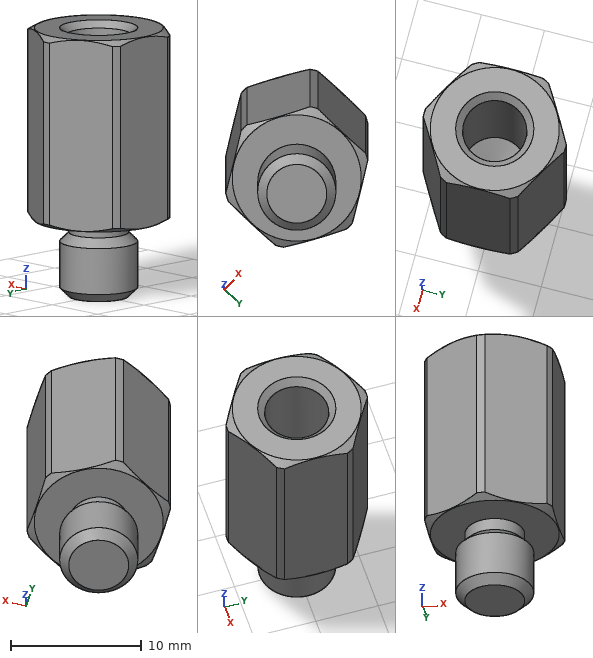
import cadquery as cq
import math

hexagon_sides = 6
half_side_angle = 180.0 / hexagon_sides
across_flats = 10.0
across_corners = 11.2
body_length = 15.0
end_face_diameter = 9.9
end_chamfer_angle = 30.0

stud_diameter = 6.0
stud_length = 6.0
neck_diameter = 4.6
neck_length = 1.0
stud_chamfer = (stud_diameter - neck_diameter) / 2

hole_diameter = 4.92
hole_depth = 10.0
drill_point_angle = 120.0
countersink_diameter = 6.0
countersink_depth = (countersink_diameter - hole_diameter) / 2

body_bottom = stud_length
body_top = body_bottom + body_length


def revolve_profile(points):
    """Revolve (radius, z) points a full turn about the Z axis."""
    return cq.Workplane("XZ").polyline(points).close().revolve(360, (0, 0, 0), (0, 1, 0))


def make_body():
    """Hexagonal prism with flats facing +X and -X, its corners trimmed and chamfered."""
    hexagon_diameter = across_flats / math.cos(math.radians(half_side_angle))
    hexagon = (
        cq.Workplane("XY", origin=(0, 0, body_bottom))
        .transformed(rotate=(0, 0, half_side_angle))
        .polygon(hexagon_sides, hexagon_diameter)
        .extrude(body_length)
    )
    end_radius = end_face_diameter / 2
    corner_radius = across_corners / 2
    chamfer_height = (corner_radius - end_radius) * math.tan(math.radians(end_chamfer_angle))
    envelope = revolve_profile([
        (0, body_bottom),
        (end_radius, body_bottom),
        (corner_radius, body_bottom + chamfer_height),
        (corner_radius, body_top - chamfer_height),
        (end_radius, body_top),
        (0, body_top),
    ])
    return hexagon.intersect(envelope)


def make_stud():
    """Stud with a chamfered tip and a conical shoulder down from its undercut neck."""
    stud_radius = stud_diameter / 2
    neck_radius = neck_diameter / 2
    neck_bottom = stud_length - neck_length
    return revolve_profile([
        (0, 0),
        (stud_radius - stud_chamfer, 0),
        (stud_radius, stud_chamfer),
        (stud_radius, neck_bottom - stud_chamfer),
        (neck_radius, neck_bottom),
        (neck_radius, body_bottom),
        (0, body_bottom),
    ])


def make_hole():
    """Blind hole with a countersunk mouth and a conical drill point."""
    hole_radius = hole_diameter / 2
    hole_bottom = body_top - hole_depth
    point_depth = hole_radius / math.tan(math.radians(drill_point_angle / 2))
    return revolve_profile([
        (0, body_top),
        (countersink_diameter / 2, body_top),
        (hole_radius, body_top - countersink_depth),
        (hole_radius, hole_bottom),
        (0, hole_bottom - point_depth),
    ])


result = make_body().union(make_stud()).cut(make_hole())